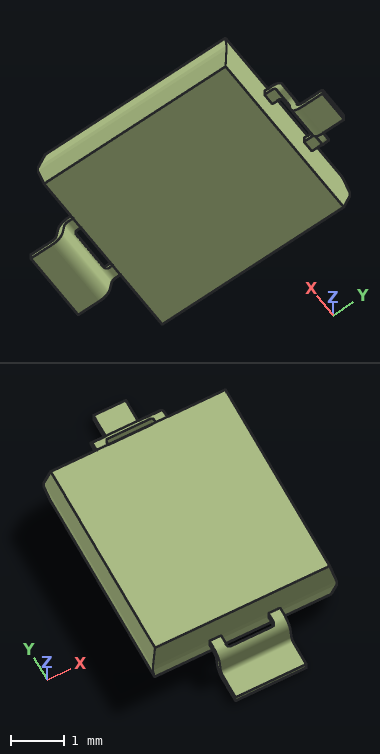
import cadquery as cq
import math

body_width = 3.9
body_length = 4.395
body_bottom = 0.045
body_top = 1.2
draft = 10.0

strip = 0.15
belt_top = 0.65
belt_bottom = belt_top - strip
lead_reach = 3.25
lead_width = 1.5
bend_start = 2.37
inner_radius = 0.1
outer_radius = inner_radius + strip
bend_angle = math.radians(80)

window_width = 1.0
window_angle = math.radians(23)
window_radius = 0.05

foot_width = 0.69
shoulder_height = 0.42
shoulder_radius = 0.1

body_face = body_length / 2
cut_span = 6.5


def make_housing():
    belt = (
        cq.Workplane("XY", origin=(0, 0, belt_bottom))
        .rect(body_width, body_length)
        .extrude(strip)
    )
    upper = belt.faces(">Z").wires().toPending().extrude(body_top - belt_top, taper=draft)
    return upper.faces("<Z").wires().toPending().extrude(body_bottom - belt_bottom, taper=draft)


sin_bend = math.sin(bend_angle)
cos_bend = math.cos(bend_angle)
mid_radius = (inner_radius + outer_radius) / 2
leg_length = (belt_bottom - 2 * mid_radius * (1 - cos_bend)) / sin_bend
upper_centre = (bend_start, belt_top - outer_radius)
foot_start = bend_start + 2 * mid_radius * sin_bend + leg_length * cos_bend
lower_centre = (foot_start, outer_radius)


def upper_point(radius, angle):
    """Point on the upper bend, its angle measured from the flat part of the strip."""
    return (
        upper_centre[0] + radius * math.sin(angle),
        upper_centre[1] + radius * math.cos(angle),
    )


def lower_point(radius, angle):
    """Point on the lower bend, its angle measured from the foot."""
    return (
        lower_centre[0] - radius * math.sin(angle),
        lower_centre[1] - radius * math.cos(angle),
    )


def make_strip():
    half_bend = bend_angle / 2
    return (
        cq.Workplane("YZ")
        .moveTo(body_face, belt_top)
        .lineTo(*upper_point(outer_radius, 0))
        .threePointArc(upper_point(outer_radius, half_bend), upper_point(outer_radius, bend_angle))
        .lineTo(*lower_point(inner_radius, bend_angle))
        .threePointArc(lower_point(inner_radius, half_bend), lower_point(inner_radius, 0))
        .lineTo(lead_reach, strip)
        .lineTo(lead_reach, 0)
        .lineTo(*lower_point(outer_radius, 0))
        .threePointArc(lower_point(outer_radius, half_bend), lower_point(outer_radius, bend_angle))
        .lineTo(*upper_point(inner_radius, bend_angle))
        .threePointArc(upper_point(inner_radius, half_bend), upper_point(inner_radius, 0))
        .lineTo(body_face, belt_bottom)
        .close()
        .extrude(lead_width / 2, both=True)
    )


def make_window():
    wall_direction = cq.Vector(0, math.sin(window_angle), math.cos(window_angle))
    wall_top = upper_point(2 * outer_radius, window_angle)
    return (
        cq.Workplane("YZ")
        .moveTo(body_face, upper_centre[1])
        .lineTo(*upper_centre)
        .lineTo(*wall_top)
        .lineTo(body_face, wall_top[1])
        .close()
        .extrude(window_width / 2, both=True)
        .edges(cq.selectors.ParallelDirSelector(wall_direction))
        .fillet(window_radius)
    )


def make_lead():
    return make_strip().cut(make_window())


def make_foot_outline():
    """T-shaped prism, square to the leg, that narrows the lead below its shoulders."""
    leg_outer = upper_point(outer_radius, bend_angle)
    drop = leg_outer[1] - shoulder_height
    shoulder_y = leg_outer[0] + drop * cos_bend / sin_bend
    leg_plane = cq.Plane(
        origin=(0, shoulder_y, shoulder_height),
        xDir=(-1, 0, 0),
        normal=(0, sin_bend, cos_bend),
    )
    half_wide = lead_width / 2
    half_narrow = foot_width / 2
    return (
        cq.Workplane(leg_plane)
        .polyline([
            (-half_wide, cut_span),
            (-half_wide, 0),
            (-half_narrow, 0),
            (-half_narrow, -cut_span),
            (half_narrow, -cut_span),
            (half_narrow, 0),
            (half_wide, 0),
            (half_wide, cut_span),
        ])
        .close()
        .extrude(cut_span, both=True)
        .edges(cq.selectors.ParallelDirSelector(leg_plane.zDir))
        .fillet(shoulder_radius)
    )


housing = make_housing()
front_lead = make_lead().mirror("XZ")
rear_lead = make_lead().intersect(make_foot_outline())

result = cq.Compound.makeCompound([housing.val(), front_lead.val(), rear_lead.val()])